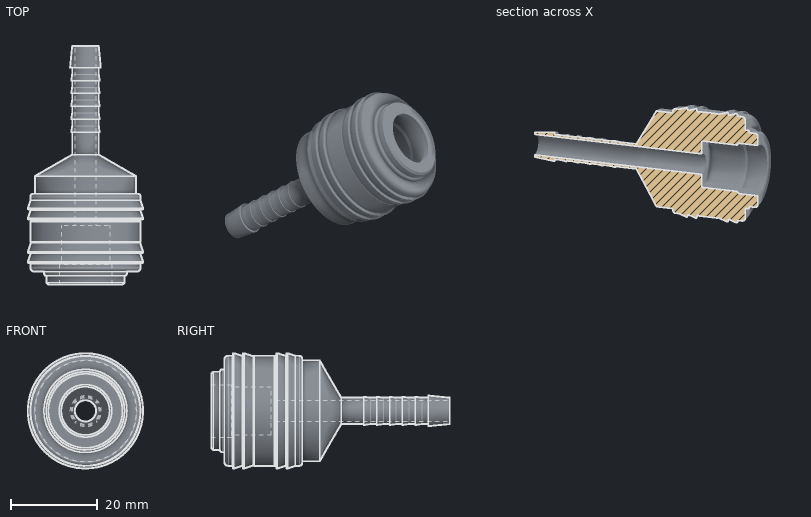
import cadquery as cq

length = 55.0

collar_radius = 9.0
collar_chamfer = 0.5
collar_length = 2.05
flange_radius = 9.55
flange_round = flange_radius - collar_radius

sleeve_front = 3.0
sleeve_back = 21.0
sleeve_radius = 12.7
front_round = 0.95
back_round = 0.7

rib_radius = 13.3
rib_root_radius = 12.6
rib_crest = 0.2
rib_undercut = 0.15
rib_pitch = 2.3
rib_ramp = 2.15
front_rib_start = 4.9
rear_rib_start = 14.9
rib_relief = 0.4
front_relief_end = 9.95

neck_radius = 11.65
neck_back = 25.0
cone_back = 30.0
stem_radius = 3.1

tip_radius = 3.6
tip_length = 5.0
barb_radius = 3.3
barb_count = 5
barb_pitch = 2.95
barb_ramp = barb_pitch / 2

bore_radius = 2.4
socket_radius = 6.05
socket_mouth_depth = 4.7
socket_depth = 13.75
socket_seat_radius = 5.55
socket_taper = socket_radius - socket_seat_radius


def revolve(profile):
    """Turn a closed (radius, y) profile about the Y axis."""
    return profile.close().revolve(360, (0, 0, 0), (0, 1, 0))


def cylinder(radius, start, end):
    return revolve(cq.Workplane("XY").polyline([(0, start), (radius, start), (radius, end), (0, end)]))


def ramp_ring(large_radius, small_radius, start, end):
    """Solid cone frustum whose large end faces the socket."""
    return revolve(
        cq.Workplane("XY").polyline([(0, start), (large_radius, start), (small_radius, end), (0, end)])
    )


def make_collar():
    """Collar with a rounded shoulder flange behind it."""
    collar = cylinder(collar_radius, 0, collar_length).faces("<Y").edges().chamfer(collar_chamfer)
    flange = cylinder(flange_radius, collar_length, sleeve_front)
    flange = flange.faces("<Y").edges().fillet(flange_round)
    return collar.union(flange)


def make_rib(start):
    crest_start = start + rib_undercut
    crest_end = crest_start + rib_crest
    points = [
        (0, start),
        (rib_root_radius, start),
        (rib_radius, crest_start),
        (rib_radius, crest_end),
        (rib_root_radius, crest_end + rib_ramp),
        (0, crest_end + rib_ramp),
    ]
    return revolve(cq.Workplane("XY").polyline(points))


def make_relief(start, end):
    """Shallow groove around the sleeve."""
    return cylinder(sleeve_radius, start, end).cut(cylinder(rib_root_radius, start, end))


def make_sleeve():
    sleeve = cylinder(sleeve_radius, sleeve_front, sleeve_back)
    sleeve = sleeve.faces("<Y").edges().fillet(front_round)
    sleeve = sleeve.faces(">Y").edges().fillet(back_round)
    sleeve = sleeve.cut(make_relief(rear_rib_start - rib_relief, rear_rib_start + rib_pitch))
    sleeve = sleeve.cut(make_relief(front_rib_start, front_relief_end))
    for first_rib in (front_rib_start, rear_rib_start):
        for index in range(2):
            sleeve = sleeve.union(make_rib(first_rib + index * rib_pitch))
    return sleeve


def make_stem():
    stem = cylinder(neck_radius, sleeve_back, neck_back)
    stem = stem.union(ramp_ring(neck_radius, stem_radius, neck_back, cone_back))
    stem = stem.union(cylinder(stem_radius, cone_back, length))
    tip_start = length - tip_length
    stem = stem.union(ramp_ring(tip_radius, stem_radius, tip_start, length))
    for index in range(1, barb_count + 1):
        start = tip_start - index * barb_pitch
        stem = stem.union(ramp_ring(barb_radius, stem_radius, start, start + barb_ramp))
    return stem


def make_bore():
    taper_end = socket_mouth_depth + socket_taper
    mouth = cylinder(socket_radius, 0, socket_mouth_depth)
    taper = ramp_ring(socket_radius, socket_seat_radius, socket_mouth_depth, taper_end)
    seat = cylinder(socket_seat_radius, taper_end, socket_depth)
    return mouth.union(taper).union(seat).union(cylinder(bore_radius, 0, length))


result = make_collar().union(make_sleeve()).union(make_stem()).cut(make_bore())